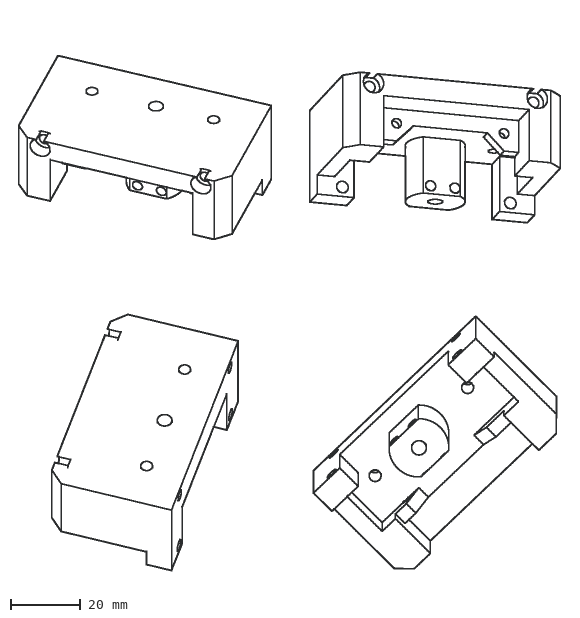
import cadquery as cq

LENGTH = 64.95
DEPTH = 37.1
CORNER_CHAMFER = 4.0
CUT_MARGIN = 0.65

FRONT_PLATE_THICKNESS = 6.4
PLATE_THICKNESS = 11.05
WALL_HEIGHT = 16.05
LEG_HEIGHT = 21.9
FOOT_HEIGHT = 27.7
BOSS_HEIGHT = 28.0

LEFT_LEG_WIDTH = 11.05
RIGHT_LEG_WIDTH = 10.5
FOOT_DEPTH = 7.55
FOOT_FRONT = DEPTH - FOOT_DEPTH
OPENING_LEFT = LEFT_LEG_WIDTH
OPENING_RIGHT = LENGTH - RIGHT_LEG_WIDTH

WALL_FRONT = 10.4
WALL_BACK = 14.3
NOTCH_TOP_HALF_WIDTH = 11.05
NOTCH_BOTTOM_HALF_WIDTH = NOTCH_TOP_HALF_WIDTH + WALL_HEIGHT - PLATE_THICKNESS

CHAMBER_SIDE_WALL = 5.2

BOSS_X = 34.05
BOSS_Y = 25.5
BOSS_RADIUS = 8.6
BOSS_FRONT_FLAT = 6.5
BOSS_BACK_FLAT = 6.25

BORE_DIAMETER = 4.2
PLATE_HOLE_DIAMETER = 3.4
PLATE_HOLE_XS = (14.55, 51.6)

TOP_HOLE_DIAMETER = 3.3
COUNTERBORE_DIAMETER = 6.05
COUNTERBORE_DEPTH = 4.0
TOP_HOLE_XS = (8.0, 56.9)
TOP_HOLE_DROP = 2.8
FOOT_HOLE_DIAMETER = 3.45
FOOT_HOLE_XS = (7.55, 57.7)
FOOT_HOLE_DROP = 24.8
WALL_HOLE_DIAMETER = 2.8
WALL_HOLE_OFFSET = 16.05
WALL_HOLE_DROP = 10.7
LEFT_WALL_HOLE_DEPTH = 2.6
BOSS_HOLE_DIAMETER = 3.0
BOSS_HOLE_MIDDLE_X = 34.35
BOSS_HOLE_OFFSET = 3.65
BOSS_HOLE_DROP = 25.6


def box(x_range, y_range, z_range):
    """Axis-aligned box from (low, high) pairs."""
    sizes = [high - low for low, high in (x_range, y_range, z_range)]
    corner = (x_range[0], y_range[0], z_range[0])
    return cq.Workplane("XY").box(*sizes, centered=False).translate(corner)


def hole_along_y(x, drop, diameter, start, end):
    """Cylinder parallel to Y, its axis a given drop below the top face."""
    plane = cq.Workplane("XZ", origin=(x, start, -drop))
    return plane.circle(diameter / 2).extrude(start - end)


def hole_along_z(x, y, diameter):
    """Vertical cylinder that passes through the whole part."""
    plane = cq.Workplane("XY", origin=(x, y, CUT_MARGIN))
    return plane.circle(diameter / 2).extrude(-(BOSS_HEIGHT + 2 * CUT_MARGIN))


def make_body():
    """Bridge-shaped block with front corner chamfers and rear feet."""
    body = box((0, LENGTH), (0, DEPTH), (-FOOT_HEIGHT, 0))
    body = body.edges("|Z and <Y").chamfer(CORNER_CHAMFER)
    across = (-CUT_MARGIN, LENGTH + CUT_MARGIN)
    below_feet = -FOOT_HEIGHT - CUT_MARGIN
    body = body.cut(box(across, (-CUT_MARGIN, FOOT_FRONT), (below_feet, -LEG_HEIGHT)))

    opening = (OPENING_LEFT, OPENING_RIGHT)
    body = body.cut(box(opening, (-CUT_MARGIN, WALL_FRONT), (below_feet, -FRONT_PLATE_THICKNESS)))
    body = body.cut(box(opening, (WALL_FRONT, DEPTH + CUT_MARGIN), (below_feet, -PLATE_THICKNESS)))
    chamber = (CHAMBER_SIDE_WALL, LENGTH - CHAMBER_SIDE_WALL)
    return body.cut(box(chamber, (WALL_BACK, FOOT_FRONT), (below_feet, -PLATE_THICKNESS)))


def make_wall_side(leg_face, side):
    """Half of the cross wall, from a leg to the sloping notch; side is -1 for left, 1 for right."""
    outline = [
        (leg_face, -PLATE_THICKNESS),
        (leg_face, -WALL_HEIGHT),
        (BOSS_X + side * NOTCH_BOTTOM_HALF_WIDTH, -WALL_HEIGHT),
        (BOSS_X + side * NOTCH_TOP_HALF_WIDTH, -PLATE_THICKNESS),
    ]
    plane = cq.Workplane("XZ", origin=(0, WALL_FRONT, 0))
    return plane.polyline(outline).close().extrude(WALL_FRONT - WALL_BACK)


def make_boss():
    """Hanging cylinder trimmed to its two flats."""
    plane = cq.Workplane("XY", origin=(BOSS_X, BOSS_Y, -BOSS_HEIGHT))
    cylinder = plane.circle(BOSS_RADIUS).extrude(BOSS_HEIGHT - PLATE_THICKNESS)
    between_flats = box(
        (BOSS_X - BOSS_RADIUS, BOSS_X + BOSS_RADIUS),
        (BOSS_Y - BOSS_FRONT_FLAT, BOSS_Y + BOSS_BACK_FLAT),
        (-BOSS_HEIGHT, -PLATE_THICKNESS),
    )
    return cylinder.intersect(between_flats)


result = make_body()
result = result.union(make_wall_side(OPENING_LEFT, -1))
result = result.union(make_wall_side(OPENING_RIGHT, 1))
result = result.union(make_boss())

result = result.cut(hole_along_z(BOSS_X, BOSS_Y, BORE_DIAMETER))
for hole_x in PLATE_HOLE_XS:
    result = result.cut(hole_along_z(hole_x, BOSS_Y, PLATE_HOLE_DIAMETER))

BEFORE_FRONT = -CUT_MARGIN
BEYOND_BACK = DEPTH + CUT_MARGIN
for hole_x in TOP_HOLE_XS:
    result = result.cut(hole_along_y(hole_x, TOP_HOLE_DROP, TOP_HOLE_DIAMETER, BEFORE_FRONT, BEYOND_BACK))
    result = result.cut(
        hole_along_y(hole_x, TOP_HOLE_DROP, COUNTERBORE_DIAMETER, BEFORE_FRONT, COUNTERBORE_DEPTH)
    )

for hole_x in FOOT_HOLE_XS:
    result = result.cut(
        hole_along_y(hole_x, FOOT_HOLE_DROP, FOOT_HOLE_DIAMETER, FOOT_FRONT - CUT_MARGIN, BEYOND_BACK)
    )

for side, hole_end in ((-1, WALL_FRONT + LEFT_WALL_HOLE_DEPTH), (1, WALL_BACK)):
    hole_x = BOSS_X + side * WALL_HOLE_OFFSET
    result = result.cut(hole_along_y(hole_x, WALL_HOLE_DROP, WALL_HOLE_DIAMETER, WALL_FRONT, hole_end))

for side in (-1, 1):
    hole_x = BOSS_HOLE_MIDDLE_X + side * BOSS_HOLE_OFFSET
    result = result.cut(
        hole_along_y(hole_x, BOSS_HOLE_DROP, BOSS_HOLE_DIAMETER, BOSS_Y - BOSS_RADIUS, BOSS_Y + BOSS_RADIUS)
    )